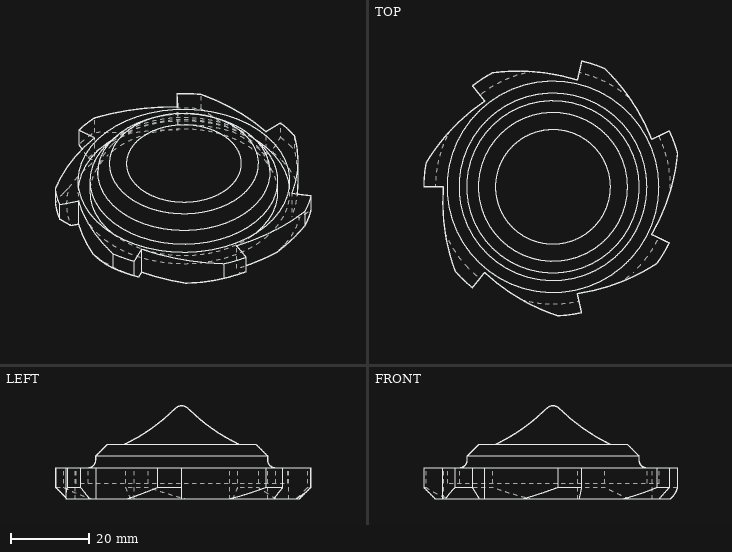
import cadquery as cq
import math

tooth_count = 7
tip_diameter = 66.0
tip_radius = tip_diameter / 2
root_radius = 28.0
land_angle = 10.7
back_bulge = 1.2
disc_height = 8.0
bottom_chamfer = 3.0

groove_outer_radius = 27.05
groove_inner_radius = 24.0
groove_depth = 4.0

shoulder_radius = 22.0
shoulder_bevel = 3.0
shoulder_top = 14.0
cone_base_radius = 14.65
cone_sag = 0.65
point_radius = 1.55
point_base = 23.25
total_height = 23.9


def polar(radius, degrees):
    angle = math.radians(degrees)
    return (radius * math.cos(angle), radius * math.sin(angle))


def toothed_disc():
    """Ratchet-shaped disc whose tooth tips are chamfered underneath."""
    pitch = 360 / tooth_count
    outline = cq.Workplane("XY").moveTo(-root_radius, 0)
    for tooth in range(tooth_count):
        face_angle = 180 - tooth * pitch
        land_end = face_angle - land_angle
        outline = outline.lineTo(*polar(tip_radius, face_angle))
        outline = outline.threePointArc(
            polar(tip_radius, face_angle - land_angle / 2),
            polar(tip_radius, land_end),
        )
        outline = outline.sagittaArc(polar(root_radius, face_angle - pitch), back_bulge)
    teeth = outline.close().extrude(disc_height)

    chamfered_envelope = (
        cq.Workplane("XY")
        .circle(tip_radius)
        .extrude(disc_height)
        .faces("<Z")
        .chamfer(bottom_chamfer)
    )
    return teeth.intersect(chamfered_envelope)


def annular_groove():
    return (
        cq.Workplane("XY", origin=(0, 0, disc_height - groove_depth))
        .circle(groove_outer_radius)
        .circle(groove_inner_radius)
        .extrude(groove_depth)
    )


def hub():
    """Revolved hub: concave foot, beveled shoulder, concave cone and domed point."""
    foot_radius = groove_inner_radius - shoulder_radius
    foot_top = disc_height + foot_radius
    foot_mid = (
        groove_inner_radius - foot_radius * math.cos(math.pi / 4),
        foot_top - foot_radius * math.sin(math.pi / 4),
    )
    hub_base = disc_height - groove_depth

    flank_run = cone_base_radius - point_radius
    flank_rise = point_base - shoulder_top
    flank_length = math.hypot(flank_run, flank_rise)
    flank_mid = (
        (cone_base_radius + point_radius) / 2 - cone_sag * flank_rise / flank_length,
        (shoulder_top + point_base) / 2 - cone_sag * flank_run / flank_length,
    )

    cap_height = total_height - point_base
    cap_sphere = (point_radius**2 + cap_height**2) / (2 * cap_height)
    cap_half_angle = math.asin(point_radius / cap_sphere) / 2
    cap_mid = (
        cap_sphere * math.sin(cap_half_angle),
        total_height - cap_sphere * (1 - math.cos(cap_half_angle)),
    )

    return (
        cq.Workplane("XZ")
        .moveTo(0, hub_base)
        .lineTo(groove_inner_radius, hub_base)
        .lineTo(groove_inner_radius, disc_height)
        .threePointArc(foot_mid, (shoulder_radius, foot_top))
        .lineTo(shoulder_radius, shoulder_top - shoulder_bevel)
        .lineTo(shoulder_radius - shoulder_bevel, shoulder_top)
        .lineTo(cone_base_radius, shoulder_top)
        .threePointArc(flank_mid, (point_radius, point_base))
        .threePointArc(cap_mid, (0, total_height))
        .close()
        .revolve(360, (0, 0, 0), (0, 1, 0))
    )


result = toothed_disc().cut(annular_groove()).union(hub())